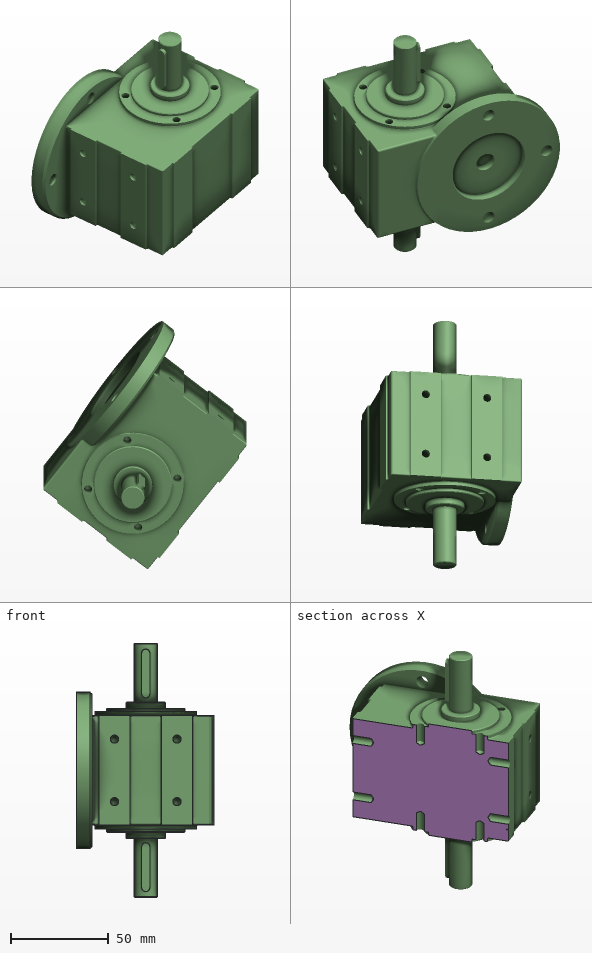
import cadquery as cq
import math


body_left = -34.5
body_right = 33.9
body_half_height = 28.0
body_center_y = -10.5
body_half_width = 41.5
flange_side_round = 1.0
corner_round = 1.0
edge_round = 0.5
root_overlap = 2.6

pad_width = 16.0
pad_rise = 1.0
pad_foot_round = 0.5
end_pad_offset = 16.0
side_pad_offset = 25.0
pad_hole_offset_z = 16.0

screw_diameter = 4.2
screw_depth = 10.0
drill_point_angle = 118.0

cover = (52.0, 30.0)
cover_collar = (40.0, 31.7)
shaft_collar = (20.0, 35.0)
shaft = (12.0, 65.0)
turned_edge_chamfer = 0.4
cover_root_flare = 0.4
cover_screw_offset = 16.2

key_width = 4.2
key_length = 25.0
key_tip_gap = 3.0
key_reach = 7.7

flange_diameter = 80.1
flange_front = -35.5
flange_thickness = 8.0
flange_back = flange_front + flange_thickness
flange_center_y = -31.0
flange_rear_chamfer = 1.2
flange_root_round = 0.9
flange_hole_diameter = 6.5
flange_hole_radius = 32.5
spigot_diameter = 40.0
spigot_depth = 4.0
spigot_chamfer = 0.4
input_bore_diameter = 10.0
input_bore_depth = 4.0


def make_core():
    length = body_right - body_left
    center = ((body_left + body_right) / 2, body_center_y, 0)
    block = cq.Workplane("XY").box(length, 2 * body_half_width, 2 * body_half_height)
    rounded_corners = block.edges("|Z").fillet(corner_round)
    core = block.faces("<X").edges("|Y").fillet(flange_side_round)
    core = core.faces(">Z or <Z").edges(">X or >Y or <Y").fillet(edge_round)
    return core.intersect(rounded_corners).translate(center)


def make_pad():
    """A strip raised toward +Y from the plane Y = 0, with rounded feet."""
    half = pad_width / 2
    foot = half + pad_foot_round
    shift = pad_foot_round * (1 - math.sqrt(0.5))
    profile = (
        cq.Workplane("XY", origin=(0, 0, -body_half_height))
        .moveTo(-foot, -root_overlap)
        .lineTo(-foot, 0)
        .threePointArc((-half - shift, shift), (-half, pad_foot_round))
        .lineTo(-half, pad_rise)
        .lineTo(half, pad_rise)
        .lineTo(half, pad_foot_round)
        .threePointArc((half + shift, shift), (foot, 0))
        .lineTo(foot, -root_overlap)
        .close()
    )
    return profile.extrude(2 * body_half_height)


def make_drill(x, y, z, direction):
    """A blind drilled hole with a conical bottom, starting at (x, y, z)."""
    radius = screw_diameter / 2
    point = radius / math.tan(math.radians(drill_point_angle / 2))
    start = cq.Vector(x, y, z)
    axis = cq.Vector(*direction)
    straight = cq.Solid.makeCylinder(radius, screw_depth, start, axis)
    cone = cq.Solid.makeCone(radius, 0, point, start + axis * screw_depth, axis)
    return cq.Workplane(straight.fuse(cone))


def make_chamfered_disc(diameter, top, chamfer):
    disc = cq.Workplane("XY").circle(diameter / 2).extrude(top)
    return disc.faces(">Z").edges().chamfer(chamfer)


def make_shaft_side():
    """The covers, collars, shaft end and key on the +Z side."""
    cover_diameter, cover_top = cover
    side = cq.Workplane("XY").circle(cover_diameter / 2).extrude(cover_top)
    root_diameter = cover_diameter + 2 * cover_root_flare
    root_top = body_half_height + cover_root_flare
    side = side.union(make_chamfered_disc(root_diameter, root_top, cover_root_flare))
    for diameter, top in (cover_collar, shaft_collar, shaft):
        side = side.union(make_chamfered_disc(diameter, top, turned_edge_chamfer))
    key_center = shaft[1] - key_tip_gap - key_length / 2
    key = (
        cq.Workplane("XZ", origin=(0, 0, key_center))
        .slot2D(key_length, key_width, 90)
        .extrude(key_reach)
    )
    return side.union(key)


def make_flange():
    flange = (
        cq.Workplane("YZ", origin=(flange_front, flange_center_y, 0))
        .circle(flange_diameter / 2)
        .extrude(flange_thickness)
    )
    return flange.faces(">X").edges().chamfer(flange_rear_chamfer)


def round_flange_root(part):
    """Fillet the line where the flange rim meets the -X face of the housing."""
    near = 0.01
    reach = flange_diameter
    face_plane = cq.selectors.BoxSelector(
        (body_left - near, -reach, -reach), (body_left + near, reach, reach)
    )
    return part.edges("%CIRCLE").edges(face_plane).fillet(flange_root_round)


def make_flange_back_root():
    """A concave strip filling the corner between the flange back and the -Y housing face."""
    wall = body_center_y - body_half_width
    shift = flange_root_round * (1 - math.sqrt(0.5))
    half_height = body_half_height - edge_round
    return (
        cq.Workplane("XY", origin=(flange_back, wall, -half_height))
        .moveTo(-root_overlap, root_overlap)
        .lineTo(-root_overlap, -flange_root_round)
        .lineTo(0, -flange_root_round)
        .threePointArc((shift, -shift), (flange_root_round, 0))
        .lineTo(flange_root_round, root_overlap)
        .close()
        .extrude(2 * half_height)
    )


def flange_cut(diameter, depth, y=0.0, z=0.0):
    """A bore entering from the flange front; y and z are from its center."""
    face = cq.Workplane("YZ", origin=(flange_front, flange_center_y + y, z))
    return face.circle(diameter / 2).extrude(depth)


body = make_core()
end_pad = make_pad().translate((0, body_half_width, 0))
for turn in (0, 180):
    for x in (-end_pad_offset, end_pad_offset):
        pad = end_pad.rotate((0, 0, 0), (0, 0, 1), turn)
        body = body.union(pad.translate((x, body_center_y, 0)))
side_pad = make_pad().rotate((0, 0, 0), (0, 0, 1), -90)
for offset in (-side_pad_offset, side_pad_offset):
    body = body.union(side_pad.translate((body_right, body_center_y + offset, 0)))

body = round_flange_root(body.union(make_flange()))
body = body.union(make_flange_back_root())

shaft_side = make_shaft_side()
body = body.union(shaft_side).union(shaft_side.mirror("XY"))

spigot = flange_cut(spigot_diameter, spigot_depth)
body = body.cut(spigot)
body = body.faces("<X").edges(cq.selectors.RadiusNthSelector(0)).chamfer(spigot_chamfer)
body = body.cut(flange_cut(input_bore_diameter, spigot_depth + input_bore_depth))
for y, z in ((0, flange_hole_radius), (0, -flange_hole_radius), (-flange_hole_radius, 0)):
    body = body.cut(flange_cut(flange_hole_diameter, flange_thickness, y, z))

for x in (-1, 1):
    for y in (-1, 1):
        for z in (-1, 1):
            body = body.cut(
                make_drill(x * cover_screw_offset, y * cover_screw_offset, z * cover[1], (0, 0, -z))
            )
            pad_face = body_center_y + y * (body_half_width + pad_rise)
            body = body.cut(
                make_drill(x * end_pad_offset, pad_face, z * pad_hole_offset_z, (0, -y, 0))
            )

result = body